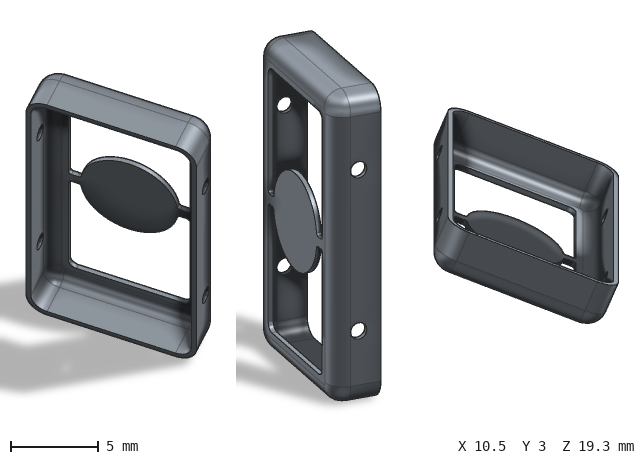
import cadquery as cq

width = 10.5
depth = 3.0
height = 19.3
wall = 0.3
corner_radius = 1.3
floor_edge_radius = 1.1

window_width = 7.47
window_height = 16.35
window_corner_radius = 0.5
disc_radius = 3.0
bridge_height = 0.64
bridge_fillet = 0.2

hole_diameter = 1.0
hole_spacing = 10.0

floor_y = depth / 2
hole_y = floor_y - floor_edge_radius - hole_diameter / 2


def rounded_block(inset):
    """Block inset from the outer walls and floor, running to the open front."""
    return (
        cq.Workplane("XZ", origin=(0, floor_y - inset, 0))
        .rect(width - 2 * inset, height - 2 * inset)
        .extrude(depth - inset)
        .edges("|Y")
        .fillet(corner_radius - inset)
        .faces(">Y")
        .edges()
        .fillet(floor_edge_radius - inset)
    )


def floor_sketch():
    """Workplane on the outer floor face; extruding goes towards the open front."""
    return cq.Workplane("XZ", origin=(0, floor_y, 0))


def window_cutter():
    """Window opening minus the disc and its bridges, with rounded corners."""
    opening = (
        floor_sketch()
        .rect(window_width, window_height)
        .extrude(wall)
        .edges("|Y")
        .fillet(window_corner_radius)
    )
    disc = floor_sketch().circle(disc_radius).extrude(wall)
    bridges = floor_sketch().rect(window_width, bridge_height).extrude(wall)
    bridge_zone = cq.selectors.BoxSelector(
        (-width, -depth, -bridge_height),
        (width, depth, bridge_height),
    )
    return (
        opening.cut(disc)
        .cut(bridges)
        .edges(cq.selectors.ParallelDirSelector(cq.Vector(0, 1, 0)) & bridge_zone)
        .fillet(bridge_fillet)
    )


def side_holes():
    """Pair of cylinders crossing the full width."""
    return (
        cq.Workplane("YZ")
        .pushPoints([(hole_y, -hole_spacing / 2), (hole_y, hole_spacing / 2)])
        .circle(hole_diameter / 2)
        .extrude(width / 2, both=True)
    )


shell = rounded_block(0).cut(rounded_block(wall))
result = shell.cut(window_cutter()).cut(side_holes())